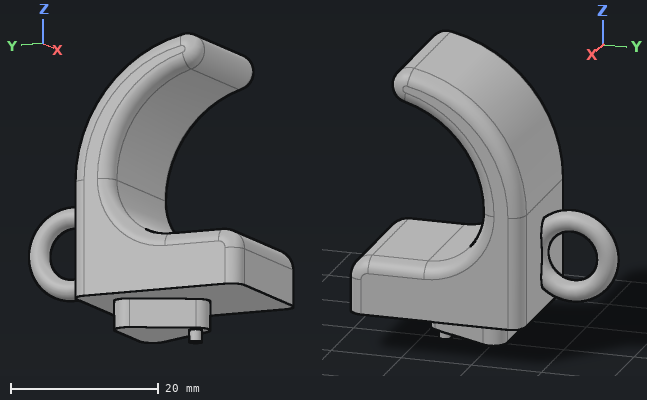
import cadquery as cq
import math

WIDTH = 20.0
DEPTH = 25.0
SHELF_HEIGHT = 8.0
EDGE_RADIUS = 2.0
NOSE_RADIUS = 3.0
STEM_THICKNESS = 6.0
THROAT_RADIUS = 8.0
ARM_START_HEIGHT = SHELF_HEIGHT + THROAT_RADIUS

TIP_FORWARD = 16.52
TIP_HEIGHT = 33.0
TIP_RADIUS = 2.5
TIP_ANGLE = math.radians(11.5)

RING_RADIUS = 5.0
RING_WIRE_RADIUS = 1.5
RING_OFFSET = 4.03
RING_HEIGHT = SHELF_HEIGHT

KEY_HEIGHT = 4.0
KEY_CORNER_RADIUS = 2.0
KEY_CORNER_SPACING = 8.0
KEY_CORNER_DEPTH = 8.15
KEY_BACK_Y = -6.0
KEY_FRONT_Y = KEY_BACK_Y - KEY_CORNER_DEPTH
PIN_DIAMETER = 1.75
PIN_LENGTH = 1.6


def tip_point(across, along):
    """Point (Y, Z) on the tip circle, from unit offsets across and along the arm."""
    forward = along * math.cos(TIP_ANGLE) - across * math.sin(TIP_ANGLE)
    rise = along * math.sin(TIP_ANGLE) + across * math.cos(TIP_ANGLE)
    return (-TIP_FORWARD - TIP_RADIUS * forward, TIP_HEIGHT + TIP_RADIUS * rise)


def make_hook():
    profile = (
        cq.Workplane("YZ", origin=(-WIDTH / 2, 0, 0))
        .moveTo(-DEPTH, 0)
        .lineTo(0, 0)
        .lineTo(0, ARM_START_HEIGHT)
        .tangentArcPoint(tip_point(1, 0), relative=False)
        .threePointArc(tip_point(0, 1), tip_point(-1, 0))
    )
    inner_y, inner_z = tip_point(-1, 0)
    run = -inner_y - STEM_THICKNESS
    rise = inner_z - ARM_START_HEIGHT
    inner_radius = (run**2 + rise**2) / (2 * run)
    half_sweep = math.atan2(run, rise)
    inner_middle = (
        -STEM_THICKNESS - inner_radius * (1 - math.cos(half_sweep)),
        ARM_START_HEIGHT + inner_radius * math.sin(half_sweep),
    )
    profile = (
        profile.threePointArc(inner_middle, (-STEM_THICKNESS, ARM_START_HEIGHT))
        .tangentArcPoint((-STEM_THICKNESS - THROAT_RADIUS, SHELF_HEIGHT), relative=False)
        .lineTo(-DEPTH + NOSE_RADIUS, SHELF_HEIGHT)
        .tangentArcPoint((-DEPTH, SHELF_HEIGHT - NOSE_RADIUS), relative=False)
        .close()
    )
    bottom_edges = cq.selectors.BoxSelector((-WIDTH, -DEPTH, -0.4), (WIDTH, 0, 0.4))
    rounded_edges = cq.selectors.InverseSelector(bottom_edges)
    return profile.extrude(WIDTH).faces("<X or >X").edges(rounded_edges).fillet(EDGE_RADIUS)


def make_ring():
    ring = cq.Solid.makeTorus(
        RING_RADIUS, RING_WIRE_RADIUS, cq.Vector(0, RING_OFFSET, RING_HEIGHT), cq.Vector(1, 0, 0)
    )
    return cq.Workplane(ring)


def make_key():
    half_base = KEY_CORNER_SPACING / 2
    corners = [(-half_base, KEY_BACK_Y), (half_base, KEY_BACK_Y), (0, KEY_FRONT_Y)]
    return (
        cq.Workplane("XY")
        .polyline(corners)
        .close()
        .offset2D(KEY_CORNER_RADIUS, "arc")
        .extrude(-KEY_HEIGHT)
    )


def make_pin():
    return (
        cq.Workplane("XY")
        .center(0, KEY_FRONT_Y)
        .circle(PIN_DIAMETER / 2)
        .extrude(-KEY_HEIGHT - PIN_LENGTH)
    )


result = make_hook().union(make_ring()).union(make_key()).union(make_pin())